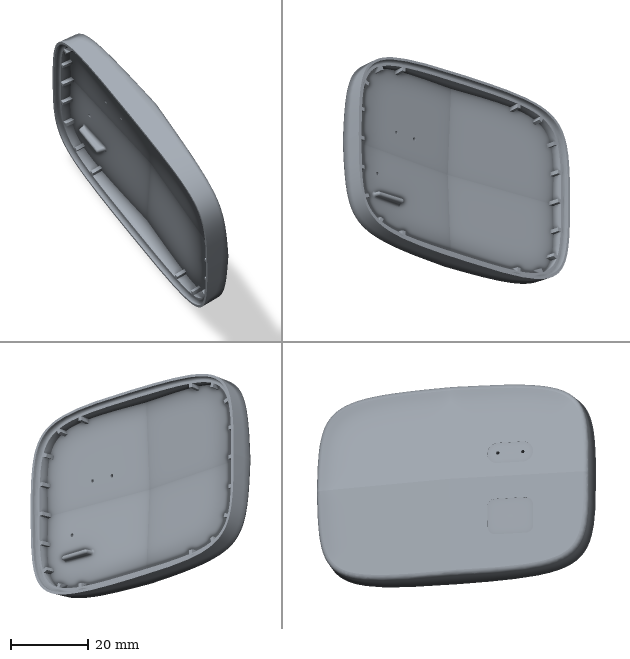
import cadquery as cq
import math


half_width = 73.5 / 2
half_height = 51.5 / 2
side_handle_z = 23.9
top_handle_x = 34.8
handle_shift = (math.sqrt(0.5) - 0.5) * 8 / 3
draft = 3.0

back_peak = 9.49
floor_peak = 6.5
width_slope = 0.063
height_slope = 0.054
back_edge_fillet = 1.2

rim_width = 0.7
ledge_inset = 2.0
ledge_depth = 1.2
step_fillet = 0.6

rib_width = 1.0
rib_length = 1.6
rib_tip_draft = 5.0
rib_end_depth = 5.5
side_rib_tip_x = 33.65
side_rib_spacing = 8.0
paired_ribs = (
    (side_rib_tip_x, side_rib_spacing, 0),
    (32.15, 15.4, 20),
    (27.5, 20.5, 67),
    (20.0, 22.15, 90),
)

hole_diameter = 0.9
hole_xs = (-19.2, -12.6)
hole_z = 6.35
blind_hole_diameter = 1.0
blind_hole_depth = 0.6
blind_hole_x = -26.15
blind_hole_z = -6.95

ridge_x = -23.35
ridge_z = -13.3
ridge_crest_length = 8.8
ridge_end_length = 10.2
ridge_width = 1.15
ridge_crest_depth = 2.2
ridge_end_depth = 5.5
ridge_crest_fillet = 0.5
ridge_base_fillet = 0.45

recess_depth = 0.1
recess_x = sum(hole_xs) / 2
upper_recess_height = 5.5
upper_recess_length = hole_xs[1] - hole_xs[0] + upper_recess_height
lower_recess_z = -10.7
lower_recess_length = 12.0
lower_recess_height = 9.4
lower_recess_corner = 2.0


def sketch(x=0, z=0, depth=0):
    """Sketch plane at Y = depth, centred on (x, z)."""
    return cq.Workplane("ZX", origin=(x, depth, z))


def outline(inset=0, depth=0):
    """Rounded outline at Y = depth, inset by an even distance from the outer edge of the rim."""
    end_x = half_width - inset
    end_z = half_height - inset
    handle_x = top_handle_x - handle_shift * inset
    handle_z = side_handle_z - handle_shift * inset
    right, top, left, bottom = (0, end_x), (end_z, 0), (0, -end_x), (-end_z, 0)
    return (
        sketch(depth=depth)
        .moveTo(*right)
        .bezier([right, (handle_z, end_x), (end_z, handle_x), top])
        .bezier([top, (end_z, -handle_x), (handle_z, -end_x), left])
        .bezier([left, (-handle_z, -end_x), (-end_z, -handle_x), bottom])
        .bezier([bottom, (-end_z, handle_x), (-handle_z, end_x), right])
        .close()
    )


def drafted_block(inset, peak):
    """Block on the rim plane with drafted walls, ending in a peaked back."""
    lean = peak * math.tan(math.radians(draft))
    ends = [outline(inset).val(), outline(inset + lean, peak).val()]
    walls = cq.Workplane(cq.Solid.makeLoft(ends, ruled=True))
    return walls.intersect(pyramid(peak))


def pyramid(peak):
    """Four-sided pyramid standing on the rim plane, with faces parallel to the back."""
    reach_x = peak / width_slope
    reach_z = peak / height_slope
    base = [
        cq.Vector(reach_x, 0, 0),
        cq.Vector(0, 0, reach_z),
        cq.Vector(-reach_x, 0, 0),
        cq.Vector(0, 0, -reach_z),
    ]
    apex = cq.Vector(0, peak, 0)
    loops = [base] + [[base[i - 1], base[i], apex] for i in range(len(base))]
    faces = [cq.Face.makeFromWires(cq.Wire.makePolygon(loop, close=True)) for loop in loops]
    return cq.Workplane(cq.Solid.makeSolid(cq.Shell.makeShell(faces)).fix())


def outer_body():
    """Drafted block under the peaked back, rounded where the back meets the walls."""
    body = drafted_block(0, back_peak)
    back = [face for face in body.faces().vals() if face.normalAt().y > 0.9]
    back_edges = [edge for face in back for edge in face.Edges() if edge.geomType() != "LINE"]
    return body.newObject(back_edges).fillet(back_edge_fillet)


def rim_step():
    """Step cut inside the rim, with a rounded inside corner."""
    return outline(rim_width).extrude(ledge_depth).faces(">Y").edges().fillet(step_fillet)


def rib(tip_x, tip_z, angle):
    """Rib with its tip at the ledge at (tip_x, tip_z); angle points outward from +X toward +Z."""
    lean = (rib_end_depth - ledge_depth) * math.tan(math.radians(rib_tip_draft))
    profile = [
        (0, ledge_depth),
        (rib_length, ledge_depth),
        (rib_length, rib_end_depth),
        (-lean, rib_end_depth),
    ]
    blade = cq.Workplane("XY").polyline(profile).close().extrude(rib_width / 2, both=True)
    return blade.rotate((0, 0, 0), (0, 1, 0), -angle).translate((tip_x, 0, tip_z))


def ribs():
    """All ribs: one in the middle of each side, the others mirrored into four quarters."""
    middle = rib(side_rib_tip_x, 0, 0)
    group = middle.union(middle.mirror("YZ"))
    for spot in paired_ribs:
        blade = rib(*spot)
        pair = blade.union(blade.mirror("XY"))
        group = group.union(pair).union(pair.mirror("YZ"))
    return group


def ridge():
    """Bar with rounded, leaning ends and a rounded top."""
    bar = (
        sketch(ridge_x, ridge_z, ridge_crest_depth)
        .slot2D(ridge_crest_length, ridge_width, 90)
        .workplane(offset=ridge_end_depth - ridge_crest_depth)
        .slot2D(ridge_end_length, ridge_width, 90)
        .loft(ruled=True)
    )
    return bar.faces("<Y").edges().fillet(ridge_crest_fillet)


def add_ridge(body):
    """Join the ridge to the floor and fillet its foot."""
    margin = 1.0
    foot_depth = floor_peak - width_slope * abs(ridge_x) - height_slope * abs(ridge_z)
    reach = ridge_end_length / 2 + margin
    foot_rise = width_slope * reach + height_slope * margin
    foot = cq.selectors.BoxSelector(
        (ridge_x - reach, foot_depth - foot_rise, ridge_z - margin),
        (ridge_x + reach, foot_depth + foot_rise, ridge_z + margin),
    )
    return body.union(ridge()).edges(foot).fillet(ridge_base_fillet)


def holes():
    """Through holes, and the blind hole whose bottom is parallel to the floor."""
    blind = sketch(blind_hole_x, blind_hole_z).circle(blind_hole_diameter / 2).extrude(back_peak)
    group = blind.intersect(pyramid(floor_peak + blind_hole_depth))
    for x in hole_xs:
        group = group.union(sketch(x, hole_z).circle(hole_diameter / 2).extrude(back_peak))
    return group


def recesses():
    """Rounded recesses of even depth below the sloping back."""
    upper = sketch(recess_x, hole_z).slot2D(upper_recess_length, upper_recess_height, 90)
    lower = sketch(recess_x, lower_recess_z).rect(lower_recess_height, lower_recess_length)
    prisms = upper.extrude(back_peak).union(
        lower.extrude(back_peak).edges("|Y").fillet(lower_recess_corner)
    )
    return prisms.cut(pyramid(back_peak - recess_depth))


result = outer_body().cut(rim_step()).cut(drafted_block(ledge_inset, floor_peak)).union(ribs())
result = add_ridge(result).cut(holes()).cut(recesses())